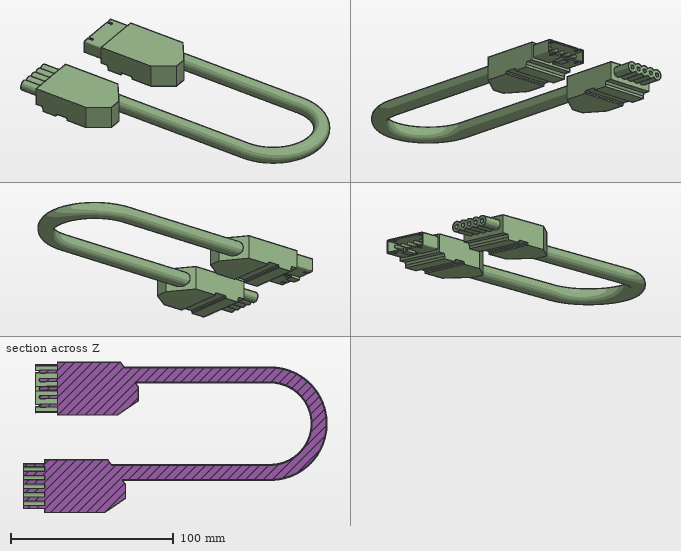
import cadquery as cq

overall_length = 187.1
cable_diameter = 10.0
cable_spacing = 60.0
cable_z = 7.5
bend_radius = cable_spacing / 2
bend_x = overall_length - bend_radius - cable_diameter / 2
cable_start = 28.0

housing_width = 32.5
housing_height = 15.0
housing_length = 50.0
shoulder_cable_side = 39.0
shoulder_free_side = 37.0
tail_upper_y = 1.0
tail_lower_y = -7.5
cable_offset_y = 8.5
nose_step_height = 3.4
nose_slope_height = 1.7
nose_step_length = 4.3
nose_slope_run = 0.7
notch_start = 14.6
notch_length = 8.5
notch_height = 1.7
notch_chamfer = 0.7

contact_count = 5
contact_pitch = 5.2
contact_z = 9.5

barrel_length = 13.1
barrel_diameter = 6.7
bore_diameter = 2.6

shroud_length = 13.5
shroud_width = 30.0
shroud_bottom = 5.0
shroud_top = 13.8
shroud_wall = 1.0
shroud_fillet = 1.1
key_width = 5.2
key_channel_width = 2.8
key_bottom = nose_step_height
key_length = 6.7
slit_width = 1.3
slit_depth = 3.4
pin_diameter = 2.0
pin_setback = 2.2

root_overlap = 1.9

socket_front_x = barrel_length
plug_front_x = 21.0
socket_y = -cable_spacing / 2
plug_y = cable_spacing / 2

contact_ys = [(i - (contact_count - 1) / 2) * contact_pitch for i in range(contact_count)]


def block(x0, x1, y0, y1, z0, z1):
    """Axis-aligned box between opposite corners."""
    return cq.Workplane("XY").box(x1 - x0, y1 - y0, z1 - z0, centered=False).translate((x0, y0, z0))


def rod(diameter, x0, x1, y, z):
    """Solid cylinder along X."""
    return cq.Workplane("YZ", origin=(x0, y, z)).circle(diameter / 2).extrude(x1 - x0)


def make_housing():
    """Flat block with a tapered tail, a stepped nose and a notch across its underside."""
    half_width = housing_width / 2
    body = (
        cq.Workplane("XY")
        .moveTo(0, -half_width)
        .lineTo(shoulder_free_side, -half_width)
        .lineTo(housing_length, tail_lower_y)
        .lineTo(housing_length, tail_upper_y)
        .lineTo(shoulder_cable_side, half_width)
        .lineTo(0, half_width)
        .close()
        .extrude(housing_height)
    )
    nose_relief = (
        cq.Workplane("XZ")
        .lineTo(0, nose_step_height)
        .lineTo(nose_step_length, nose_step_height)
        .lineTo(nose_step_length + nose_slope_run, nose_slope_height)
        .lineTo(nose_step_length + nose_slope_run, 0)
        .close()
        .extrude(half_width, both=True)
    )
    notch = (
        block(notch_start, notch_start + notch_length, -half_width, half_width, 0, notch_height)
        .edges("|Y and >Z")
        .chamfer(notch_chamfer)
    )
    return body.cut(nose_relief).cut(notch)


def make_socket_connector():
    """Housing with a row of merged barrels, each bored for its contact."""
    connector = make_housing()
    for y in contact_ys:
        connector = connector.union(rod(barrel_diameter, -barrel_length, root_overlap, y, contact_z))
    for y in contact_ys:
        connector = connector.cut(rod(bore_diameter, -barrel_length, 0, y, contact_z))
    return connector


def make_pin(y):
    """Contact pin with a hemispherical tip."""
    radius = pin_diameter / 2
    tip_centre_x = pin_setback - shroud_length + radius
    tip = cq.Workplane("XY").sphere(radius).translate((tip_centre_x, y, contact_z))
    return rod(pin_diameter, tip_centre_x, root_overlap, y, contact_z).union(tip)


def make_plug_connector():
    """Housing with an open shroud around the pins and a hollow key below it."""
    front = -shroud_length
    half_width = shroud_width / 2
    inner_half = half_width - shroud_wall
    floor_z = shroud_bottom + shroud_wall
    ceiling_z = shroud_top - shroud_wall
    half_key = key_width / 2
    half_channel = key_channel_width / 2

    shell = block(front, 0, -half_width, half_width, shroud_bottom, shroud_top)
    shell = shell.edges("|X").fillet(shroud_fillet)
    key = block(front, front + key_length, -half_key, half_key, key_bottom, floor_z)
    cavity = block(front, 0, -inner_half, inner_half, floor_z, ceiling_z)
    channel = block(front, 0, -half_channel, half_channel, key_bottom + shroud_wall, floor_z)
    shell = shell.union(key).cut(cavity).cut(channel)

    for y in (contact_ys[0], contact_ys[-1]):
        slit = block(front, front + slit_depth, y - slit_width / 2, y + slit_width / 2, 0, housing_height)
        shell = shell.cut(slit)

    connector = make_housing().union(shell)
    for y in contact_ys:
        connector = connector.union(make_pin(y))
    return connector


def make_cable():
    """Cord joining the two housings through a half-turn."""
    start_x = socket_front_x + cable_start
    upper_y = plug_y + cable_offset_y
    lower_y = socket_y + cable_offset_y
    path = (
        cq.Workplane("XY", origin=(0, 0, cable_z))
        .moveTo(start_x, lower_y)
        .lineTo(bend_x, lower_y)
        .threePointArc((bend_x + bend_radius, (lower_y + upper_y) / 2), (bend_x, upper_y))
        .lineTo(plug_front_x + cable_start, upper_y)
    )
    return cq.Workplane("YZ", origin=(start_x, lower_y, cable_z)).circle(cable_diameter / 2).sweep(path)


socket_connector = make_socket_connector().translate((socket_front_x, socket_y, 0))
plug_connector = make_plug_connector().translate((plug_front_x, plug_y, 0))
result = socket_connector.union(plug_connector).union(make_cable())